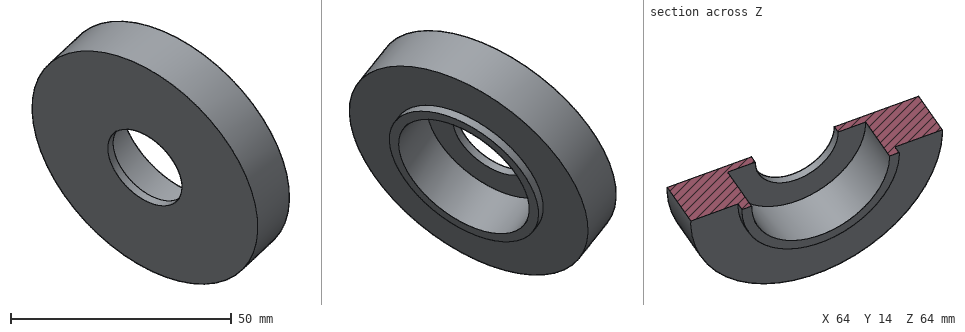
import cadquery as cq

disc_diameter = 64.0
disc_thickness = 12.0
boss_diameter = 40.0
boss_height = 2.0
lip_diameter = 21.0
lip_thickness = 2.0
bore_diameter = 35.0

total_length = disc_thickness + boss_height


def cylinder_along_y(diameter, start, length):
    """Solid cylinder centred on the Y axis, from Y = start to start + length."""
    axis_direction = cq.Vector(0, 1, 0)
    return cq.Workplane(cq.Solid.makeCylinder(diameter / 2, length, cq.Vector(0, start, 0), axis_direction))


def make_body():
    """Plain disc with a low round boss on its +Y face."""
    disc = cylinder_along_y(disc_diameter, 0, disc_thickness)
    boss = cylinder_along_y(boss_diameter, disc_thickness, boss_height)
    return disc.union(boss)


def cut_bore(body):
    """Through hole, narrowed by a thin lip at the -Y face."""
    lip_hole = cylinder_along_y(lip_diameter, 0, total_length)
    bore = cylinder_along_y(bore_diameter, lip_thickness, total_length - lip_thickness)
    return body.cut(lip_hole).cut(bore)


result = cut_bore(make_body())